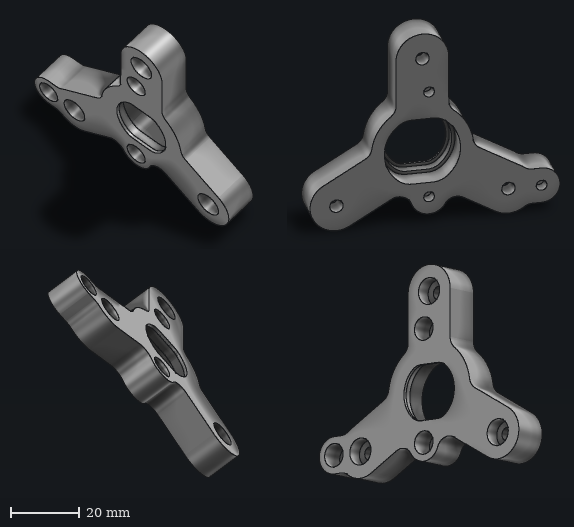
import cadquery as cq
import math

thickness = 11.0
hub_radius = 15.5
blend_radius = 4.0

side_arm_angle = 210
arm_angles = (90, side_arm_angle, 330)
arm_reach = 30.0
arm_radius = 8.0
arm_hole_diameter = 4.0
arm_bore_diameter = 8.0
arm_bore_depth = 4.5

boss_radius = 5.6
screw_hole_diameter = 3.2
screw_bore_diameter = 7.0
screw_bore_depth = 7.0
boss_row_z = -arm_reach / 2
lower_boss = (-2.0, boss_row_z)
side_boss = (-36.0, boss_row_z)
arm_screw = (-2.0, 19.0)

opening_diameter = 19.0
opening_height = 16.7
opening_corner_radius = 4.5

lip_thickness = 1.0
middle_growth = 1.0
rear_start = 4.0
rear_growth = 2.0


def arm_end(angle):
    """Centre (X, Z) of the rounded end of the arm at the given angle."""
    return (
        arm_reach * math.cos(math.radians(angle)),
        arm_reach * math.sin(math.radians(angle)),
    )


def disc(center, radius, length):
    """Round disc standing on the front face at an X-Z point."""
    return cq.Workplane("XZ").center(*center).circle(radius).extrude(-length)


def bar(start, end, radius):
    """Straight bar with round ends centred on two X-Z points."""
    dx = end[0] - start[0]
    dz = end[1] - start[1]
    length = math.hypot(dx, dz)
    middle = ((start[0] + end[0]) / 2, (start[1] + end[1]) / 2)
    return (
        cq.Workplane("XZ")
        .center(*middle)
        .slot2D(length + 2 * radius, 2 * radius, math.degrees(math.atan2(dz, dx)))
        .extrude(-thickness)
    )


def plate():
    """Hub, arms and bosses joined, with every inside corner of the outline blended."""
    rough = disc((0, 0), hub_radius, thickness)
    for angle in arm_angles:
        rough = rough.union(bar((0, 0), arm_end(angle), arm_radius))
    rough = rough.union(disc(lower_boss, boss_radius, thickness))
    rough = rough.union(bar(side_boss, arm_end(side_arm_angle), boss_radius))
    outline = rough.faces("<Y").wires().vals()[0]
    grown = outline.offset2D(blend_radius)[0]
    blended = grown.offset2D(-blend_radius)[0]
    return cq.Workplane("XZ").add(blended).toPending().extrude(-thickness)


def counterbored_hole(center, hole_diameter, bore_diameter, bore_depth):
    """Through hole with a counterbore sunk from the front face."""
    hole = disc(center, hole_diameter / 2, thickness)
    return hole.union(disc(center, bore_diameter / 2, bore_depth))


def opening_section(growth, start):
    """Opening enlarged all round by growth, running from depth start out through the back face."""
    corner_radius = opening_corner_radius + growth
    round_part = disc((0, 0), opening_diameter / 2 + growth, thickness)
    band = (
        cq.Workplane("XZ")
        .rect(opening_diameter + 2 * growth, opening_height + 2 * growth)
        .extrude(-thickness)
    )
    section = round_part.intersect(band).edges("|Y").fillet(corner_radius)
    return section.translate((0, start, 0))


def opening():
    """Central opening, widening in two steps behind a thin front lip."""
    cutter = opening_section(0, 0)
    cutter = cutter.union(opening_section(middle_growth, lip_thickness))
    return cutter.union(opening_section(rear_growth, rear_start))


result = plate().cut(opening())
for angle in arm_angles:
    result = result.cut(
        counterbored_hole(arm_end(angle), arm_hole_diameter, arm_bore_diameter, arm_bore_depth)
    )
for center in (lower_boss, side_boss, arm_screw):
    result = result.cut(
        counterbored_hole(center, screw_hole_diameter, screw_bore_diameter, screw_bore_depth)
    )